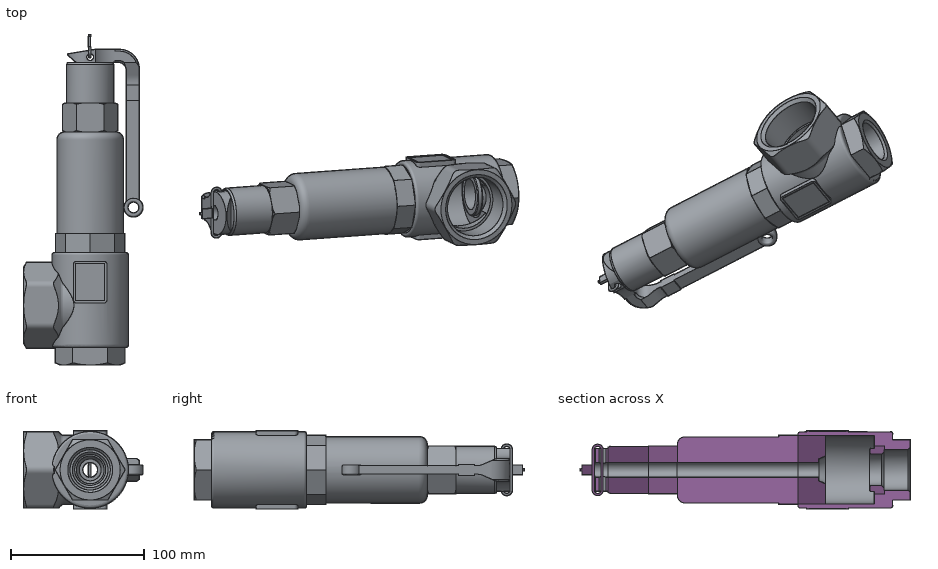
import cadquery as cq
import math


body_radius = 28.7
body_bottom = 13.0
body_top = 84.5
body_edge_round = 2.0
inlet_hex_corner = 26.2
inlet_face_radius = 22.5
inlet_chamfer_length = 1.7
inlet_bore_radius = 15.0
inlet_mouth_radius = 16.8
inlet_bore_depth = 19.8
chamber_radius = 25.5
chamber_floor = 27.2

outlet_y = 44.8
outlet_face_x = -50.0
outlet_hex_flat = 28.7
outlet_corner_round = 5.5
outlet_face_radius = 28.5
outlet_rim_radius = 32.7
outlet_front_chamfer = 2.5
outlet_back_x = -21.0
neck_fillet = 2.0
outlet_neck_radius = 26.0
outlet_mouth_radius = 24.8
outlet_bore_radius = 22.3
outlet_bore_depth = 23.5
outlet_port_radius = 20.3
outlet_port_end_x = -14.9

plate_top = 29.5
plate_width = 25.3
plate_y = (46.5, 77.7)
plate_corner = 2.5
plate_rim = 1.7
plate_recess = 0.5

seat_radius = 17.8
seat_rim_radius = 16.3
seat_rim_chamfer = 0.7
seat_top = 30.7
seat_entry_radius = 13.4
seat_throat_radius = 11.6
guide_bottom = 63.6
guide_entry_radius = 10.5
guide_bore_radius = 8.2
guide_entry_depth = 5.0
spindle_hole_radius = 5.5

bonnet_octagon_corner = 26.0
bonnet_octagon_top = 98.8
bonnet_radius = 25.0
bonnet_top = 174.8
bonnet_dome_round = 6.0
nut_corner = 20.8
nut_top = 196.3
nut_chamfer_width = 1.7
nut_chamfer_length = 1.0
cap_radius = 17.8
cap_top = 226.8
cap_chamfer_length = 1.7
cap_chamfer_width = 0.7

lever_top = 236.7
nose_tip_x = -17.0
head_half_width = 16.0
head_flat_x = (-4.2, 4.0)
arm_start_x = 18.5
arm_half_width = 8.7
handle_x = (27.0, 37.0)
bend_outer_radius = 14.9
bend_inner_radius = 6.2
arm_chamfer = 1.5
slope_end_y = 216.5
slope_end_half = 4.2
handle_start_y = 212.0
handle_half = 3.2
nose_bevel_start_x = -10.6
nose_tip_y = (232.5, 233.2)
ring_x = 32.5
ring_y = 118.0
ring_radius = 7.2
ring_hole_radius = 4.0
ring_half = 3.7
ring_round = 1.2
label_y = (198.0, 210.0)
label_half = 4.2
wire_hole_y = 230.7
wire_hole_radius = 2.5

wire_x = -0.2
wire_radius = 1.0
wire_leg_y = (231.0, 237.7)
wire_straight_half = 15.0
seal_x = (-1.6, 0.37)
seal_y = (238.2, 246.0)
seal_width = 7.5
nub_radius = 1.0
total_length = 247.5


def turned(points):
    """Solid turned about the Y axis from (radius, y) points."""
    return cq.Workplane("XY").polyline(points).close().revolve(360, (0, 0), (0, 1))


def turned_about_outlet(points):
    """Solid turned about the outlet axis from (x, radius) points."""
    profile = cq.Workplane("XY", origin=(0, outlet_y, 0)).polyline(points).close()
    return profile.revolve(360, (0, 0), (1, 0))


def round_bar(radius, y0, y1):
    """Cylinder on the Y axis."""
    return cq.Workplane("XZ", origin=(0, y0, 0)).circle(radius).extrude(y0 - y1)


def polygon_bar(sides, corner, y0, y1):
    """Regular prism on the Y axis with a corner on +X."""
    return cq.Workplane("XZ", origin=(0, y0, 0)).polygon(sides, 2 * corner).extrude(y0 - y1)


def box_between(x, y, z):
    """Box given by its (low, high) ranges."""
    size = [high - low for low, high in (x, y, z)]
    return cq.Workplane("XY").box(*size, centered=False).translate((x[0], y[0], z[0]))


def make_inlet_hexagon():
    hexagon = polygon_bar(6, inlet_hex_corner, 0, body_bottom + body_edge_round)
    envelope = turned([
        (0, 0),
        (inlet_face_radius, 0),
        (inlet_hex_corner, inlet_chamfer_length),
        (inlet_hex_corner, body_bottom + body_edge_round),
        (0, body_bottom + body_edge_round),
    ])
    return hexagon.intersect(envelope)


def make_outlet_branch():
    corner = outlet_hex_flat / math.cos(math.radians(30))
    hexagon = (
        cq.Workplane("YZ", origin=(outlet_face_x, outlet_y, 0))
        .polygon(6, 2 * corner)
        .extrude(outlet_back_x - outlet_face_x)
        .edges("|X")
        .fillet(outlet_corner_round)
    )
    back_chamfer = outlet_rim_radius - outlet_neck_radius
    envelope = turned_about_outlet([
        (outlet_face_x, 0),
        (outlet_face_x, outlet_face_radius),
        (outlet_face_x + outlet_front_chamfer, outlet_rim_radius),
        (outlet_back_x - back_chamfer, outlet_rim_radius),
        (outlet_back_x, outlet_neck_radius),
        (outlet_back_x, 0),
    ])
    neck = turned_about_outlet([
        (outlet_back_x, 0),
        (outlet_back_x, outlet_neck_radius),
        (0, outlet_neck_radius),
        (0, 0),
    ])
    neck_corner = cq.NearestToPointSelector((outlet_back_x, outlet_y, 0))
    return hexagon.intersect(envelope).union(neck).edges(neck_corner).fillet(neck_fillet)


def make_plates():
    """Bar through the housing that ends in a rimmed plate on each side."""
    length = plate_y[1] - plate_y[0]
    centre_y = sum(plate_y) / 2
    bar = (
        cq.Workplane("XY", origin=(0, centre_y, -plate_top))
        .rect(plate_width, length)
        .extrude(2 * plate_top)
        .edges("|Z")
        .fillet(plate_corner)
    )
    for side in (1, -1):
        recess = (
            cq.Workplane("XY", origin=(0, centre_y, side * plate_top))
            .rect(plate_width - 2 * plate_rim, length - 2 * plate_rim)
            .extrude(-side * plate_recess)
        )
        bar = bar.cut(recess)
    return bar


def make_housing():
    body = round_bar(body_radius, body_bottom, body_top).faces("<Y or >Y").edges().fillet(body_edge_round)
    housing = body.union(make_inlet_hexagon()).union(make_outlet_branch()).union(make_plates())
    main_bore = turned([
        (0, 0),
        (inlet_mouth_radius, 0),
        (inlet_bore_radius, inlet_mouth_radius - inlet_bore_radius),
        (inlet_bore_radius, inlet_bore_depth),
        (seat_radius, inlet_bore_depth),
        (seat_radius, chamber_floor),
        (chamber_radius, chamber_floor),
        (chamber_radius, body_top),
        (0, body_top),
    ])
    bore_end_x = outlet_face_x + outlet_bore_depth
    mouth_end_x = outlet_face_x + outlet_mouth_radius - outlet_bore_radius
    outlet_bore = turned_about_outlet([
        (outlet_face_x, 0),
        (outlet_face_x, outlet_mouth_radius),
        (mouth_end_x, outlet_bore_radius),
        (bore_end_x, outlet_bore_radius),
        (bore_end_x, outlet_port_radius),
        (outlet_port_end_x, outlet_port_radius),
        (outlet_port_end_x, 0),
    ])
    return housing.cut(main_bore).cut(outlet_bore)


def make_seat():
    cone_end = inlet_bore_depth + seat_entry_radius - seat_throat_radius
    return turned([
        (seat_entry_radius, inlet_bore_depth),
        (seat_radius, inlet_bore_depth),
        (seat_radius, chamber_floor),
        (seat_rim_radius, chamber_floor),
        (seat_rim_radius, seat_top - seat_rim_chamfer),
        (seat_rim_radius - seat_rim_chamfer, seat_top),
        (seat_throat_radius, seat_top),
        (seat_throat_radius, cone_end),
    ])


def make_guide():
    entry_top = guide_bottom + guide_entry_depth
    return turned([
        (guide_entry_radius, guide_bottom),
        (chamber_radius, guide_bottom),
        (chamber_radius, body_top),
        (spindle_hole_radius, body_top),
        (spindle_hole_radius, entry_top),
        (guide_bore_radius, entry_top),
    ])


def make_bonnet():
    tube = round_bar(bonnet_radius, body_top, bonnet_top).faces(">Y").edges().fillet(bonnet_dome_round)
    octagon = polygon_bar(8, bonnet_octagon_corner, body_top, bonnet_octagon_top)
    tube = tube.cut(round_bar(2 * bonnet_radius, body_top, bonnet_octagon_top))
    hole = round_bar(spindle_hole_radius, body_top, bonnet_top)
    return tube.union(octagon).cut(hole)


def make_nut():
    hexagon = polygon_bar(6, nut_corner, bonnet_top, nut_top)
    end_radius = nut_corner - nut_chamfer_width
    envelope = turned([
        (spindle_hole_radius, bonnet_top),
        (end_radius, bonnet_top),
        (nut_corner, bonnet_top + nut_chamfer_length),
        (nut_corner, nut_top - nut_chamfer_length),
        (end_radius, nut_top),
        (spindle_hole_radius, nut_top),
    ])
    return hexagon.intersect(envelope)


def make_cap():
    return turned([
        (spindle_hole_radius, nut_top),
        (cap_radius, nut_top),
        (cap_radius, cap_top - cap_chamfer_length),
        (cap_radius - cap_chamfer_width, cap_top),
        (spindle_hole_radius, cap_top),
    ])


def make_lever_side(half_width):
    """Bent bar with a bevelled nose, outlined in XY."""
    inner_x, outer_x = handle_x
    outer_mid = bend_outer_radius * math.sqrt(0.5)
    inner_mid = bend_inner_radius * math.sqrt(0.5)
    outer_centre = (outer_x - bend_outer_radius, lever_top - bend_outer_radius)
    inner_centre = (inner_x - bend_inner_radius, cap_top - bend_inner_radius)
    return (
        cq.Workplane("XY", origin=(0, 0, -half_width))
        .moveTo(nose_tip_x, nose_tip_y[0])
        .lineTo(nose_tip_x, nose_tip_y[1])
        .lineTo(head_flat_x[1], lever_top)
        .lineTo(outer_centre[0], lever_top)
        .threePointArc(
            (outer_centre[0] + outer_mid, outer_centre[1] + outer_mid),
            (outer_x, outer_centre[1]),
        )
        .lineTo(outer_x, ring_y)
        .lineTo(inner_x, ring_y)
        .lineTo(inner_x, inner_centre[1])
        .threePointArc(
            (inner_centre[0] + inner_mid, inner_centre[1] + inner_mid),
            (inner_centre[0], cap_top),
        )
        .lineTo(nose_bevel_start_x, cap_top)
        .close()
        .extrude(2 * half_width)
    )


def make_lever_head():
    """Head with round nose, flat sides and hollow tapers that run tangent into the arm."""
    nose_x, taper_x = head_flat_x
    run = arm_start_x - taper_x
    rise = head_half_width - arm_half_width
    hollow_radius = (run ** 2 + rise ** 2) / (2 * rise)
    plan = (
        cq.Workplane("XZ", origin=(0, lever_top, 0))
        .moveTo(arm_start_x, arm_half_width)
        .lineTo(arm_start_x, -arm_half_width)
        .radiusArc((taper_x, -head_half_width), -hollow_radius)
        .lineTo(nose_x, -head_half_width)
        .threePointArc((nose_tip_x, 0), (nose_x, head_half_width))
        .lineTo(taper_x, head_half_width)
        .radiusArc((arm_start_x, arm_half_width), -hollow_radius)
        .close()
        .extrude(lever_top - cap_top)
    )
    return make_lever_side(head_half_width).intersect(plan)


def make_lever_thickness():
    """Limits along Z: full head, sloped arm, thin handle."""
    half = (
        cq.Workplane("YZ", origin=(nose_tip_x, 0, 0))
        .moveTo(ring_y, 0)
        .lineTo(ring_y, handle_half)
        .lineTo(handle_start_y, handle_half)
        .tangentArcPoint((slope_end_y, slope_end_half), relative=False)
        .lineTo(cap_top, arm_half_width)
        .lineTo(cap_top, head_half_width)
        .lineTo(lever_top, head_half_width)
        .lineTo(lever_top, 0)
        .close()
        .extrude(handle_x[1] - nose_tip_x)
    )
    return half.union(half.mirror("XY"))


def make_arm():
    """Bar from the head round the bend to the ring, with its long edges chamfered."""
    arm = make_lever_side(arm_half_width)
    for side in (1, -1):
        for y in (cap_top, lever_top):
            edge = cq.NearestToPointSelector((arm_start_x, y, side * arm_half_width))
            arm = arm.edges(edge).chamfer(arm_chamfer)
    beyond_head = box_between(
        (arm_start_x, handle_x[1]),
        (ring_y, lever_top),
        (-arm_half_width, arm_half_width),
    )
    return arm.intersect(beyond_head)


def make_lever():
    arm = make_arm().intersect(make_lever_thickness())
    lever = make_lever_head().union(arm)
    label = box_between(handle_x, label_y, (-label_half, label_half))
    ring_plane = cq.Workplane("XY", origin=(ring_x, ring_y, -ring_half))
    ring = (
        ring_plane.circle(ring_radius)
        .circle(ring_hole_radius)
        .extrude(2 * ring_half)
        .edges()
        .fillet(ring_round)
    )
    ring_core = ring_plane.circle((ring_radius + ring_hole_radius) / 2).extrude(2 * ring_half)
    wire_hole = (
        cq.Workplane("XY", origin=(0, wire_hole_y, -head_half_width))
        .circle(wire_hole_radius)
        .extrude(2 * head_half_width)
    )
    spindle_hole = round_bar(spindle_hole_radius, cap_top, lever_top)
    lever = lever.cut(ring_core).union(ring).union(label)
    return lever.cut(wire_hole).cut(spindle_hole)


def make_wire():
    """Closed loop through the lever's cross hole and back over its top."""
    low, high = wire_leg_y
    middle = (low + high) / 2
    tip = wire_straight_half + (high - low) / 2
    path = (
        cq.Workplane("YZ", origin=(wire_x, 0, 0))
        .moveTo(low, 0)
        .lineTo(low, wire_straight_half)
        .threePointArc((middle, tip), (high, wire_straight_half))
        .lineTo(high, -wire_straight_half)
        .threePointArc((middle, -tip), (low, -wire_straight_half))
        .close()
    )
    return cq.Workplane("XY", origin=(wire_x, low, 0)).circle(wire_radius).sweep(path)


def make_seal(wire):
    """Seal tag that sits on the wire in a matching groove, with a nub on its end."""
    tag = box_between(seal_x, seal_y, (-seal_width / 2, seal_width / 2))
    nub = round_bar(nub_radius, seal_y[1], total_length).translate((wire_x, 0, 0))
    return tag.union(nub).cut(wire)


housing = make_housing()
seat = make_seat()
guide = make_guide()
bonnet = make_bonnet()
lock_nut = make_nut()
cap = make_cap()
lever = make_lever()
wire_loop = make_wire()
seal = make_seal(wire_loop)

bodies = [housing, seat, guide, bonnet, lock_nut, cap, lever, wire_loop, seal]
result = cq.Compound.makeCompound([body.val() for body in bodies])